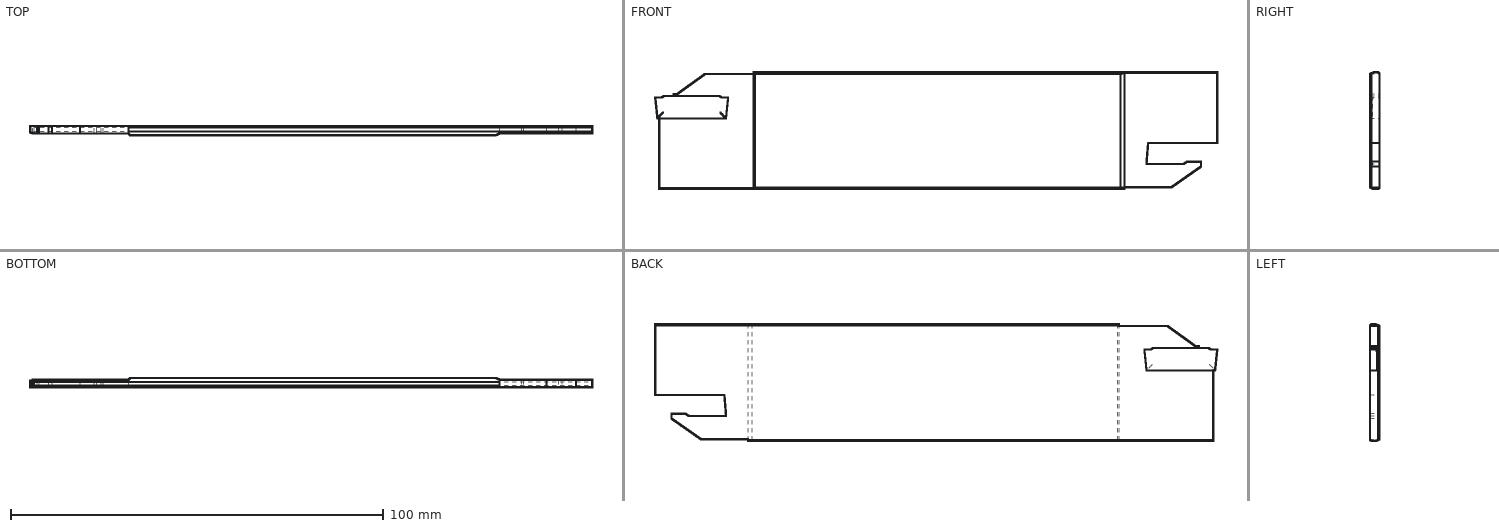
import cadquery as cq

BLADE_LEFT = 1.0
BLADE_RIGHT = 151.0
BLADE_HEIGHT = 31.4
BLADE_THICKNESS = 2.5
END_THICKNESS = 2.1

MIDDLE_LEFT = 26.5
MIDDLE_RIGHT = 125.0
LEFT_SHOULDER_RUN = 0.5
RIGHT_SHOULDER_RUN = 1.0

FRONT_BEVEL_HEIGHT = 0.5
FRONT_BEVEL_DEPTH = 1.0
BACK_BEVEL_HEIGHT = 0.3
BACK_BEVEL_DEPTH = 0.5
END_EDGE_DROP = 0.5

JAW_TIP_X = 5.9
JAW_TIP_Z = 25.5
JAW_SLOPE_END_X = 13.5

INSERT_LENGTH = 19.6
INSERT_BOTTOM = 19.0
INSERT_EDGE_Z = 24.6
INSERT_TOP = 25.0
INSERT_END_SLANT = 0.6
INSERT_TOP_INSET = 2.4
RAMP_LENGTH = 0.6
RELIEF_LENGTH = 2.1
RELIEF_DEPTH = 0.3
RELIEF_BOTTOM = 20.5

SEAT_TOP = BLADE_HEIGHT - INSERT_BOTTOM
SEAT_BOTTOM = 6.8
SEAT_WALL_TOP_X = 132.5
SEAT_WALL_BOTTOM_X = 132.0
SEAT_LIP_X = 142.0
SEAT_LIP_RUN = 0.9
SEAT_LIP_Z = 7.4
SEAT_JAW_TIP_X = 146.6
SEAT_JAW_TIP_Z = 6.0


def plate(points, thickness):
    """Extrude an XZ outline from the back face toward -Y."""
    return cq.Workplane("XZ").polyline(points).close().extrude(thickness)


def make_insert_envelope():
    """Full-thickness insert outline, symmetric about its middle."""
    top_left = INSERT_TOP_INSET
    top_right = INSERT_LENGTH - INSERT_TOP_INSET
    points = [
        (INSERT_END_SLANT, INSERT_BOTTOM),
        (0, INSERT_EDGE_Z),
        (top_left - RAMP_LENGTH, INSERT_EDGE_Z),
        (top_left, INSERT_TOP),
        (top_right, INSERT_TOP),
        (top_right + RAMP_LENGTH, INSERT_EDGE_Z),
        (INSERT_LENGTH, INSERT_EDGE_Z),
        (INSERT_LENGTH - INSERT_END_SLANT, INSERT_BOTTOM),
    ]
    return plate(points, END_THICKNESS)


def make_end_relief():
    """Front-face wedge deepening toward the left end of the insert."""
    wedge = (
        cq.Workplane("XY")
        .workplane(offset=INSERT_BOTTOM)
        .polyline([
            (0, -END_THICKNESS),
            (RELIEF_LENGTH, -END_THICKNESS),
            (0, RELIEF_DEPTH - END_THICKNESS),
        ])
        .close()
        .extrude(INSERT_TOP - INSERT_BOTTOM)
    )
    boundary = plate([
        (0, INSERT_BOTTOM),
        (INSERT_END_SLANT, INSERT_BOTTOM),
        (RELIEF_LENGTH, RELIEF_BOTTOM),
        (RELIEF_LENGTH, INSERT_TOP),
        (0, INSERT_TOP),
    ], END_THICKNESS)
    return wedge.intersect(boundary)


def make_insert():
    left_relief = make_end_relief()
    right_relief = left_relief.mirror("YZ").translate((INSERT_LENGTH, 0, 0))
    return make_insert_envelope().cut(left_relief).cut(right_relief)


def make_end_plate():
    """Thin plate spanning both ends, with one edge lowered at each end."""
    top = BLADE_HEIGHT
    return plate([
        (BLADE_LEFT, 0),
        (MIDDLE_RIGHT, 0),
        (MIDDLE_RIGHT, END_EDGE_DROP),
        (BLADE_LEFT + BLADE_RIGHT - JAW_SLOPE_END_X, END_EDGE_DROP),
        (SEAT_JAW_TIP_X, SEAT_JAW_TIP_Z),
        (SEAT_JAW_TIP_X, SEAT_LIP_Z),
        (SEAT_LIP_X + SEAT_LIP_RUN, SEAT_LIP_Z),
        (SEAT_LIP_X, SEAT_BOTTOM),
        (SEAT_WALL_BOTTOM_X, SEAT_BOTTOM),
        (SEAT_WALL_TOP_X, SEAT_TOP),
        (BLADE_RIGHT, SEAT_TOP),
        (BLADE_RIGHT, top),
        (MIDDLE_LEFT, top),
        (MIDDLE_LEFT, top - END_EDGE_DROP),
        (JAW_SLOPE_END_X, top - END_EDGE_DROP),
        (JAW_TIP_X, JAW_TIP_Z),
        (JAW_TIP_X - SEAT_LIP_RUN, JAW_TIP_Z),
        (JAW_TIP_X - SEAT_LIP_RUN, INSERT_TOP),
        (INSERT_TOP_INSET, INSERT_TOP),
        (INSERT_TOP_INSET, INSERT_BOTTOM),
        (BLADE_LEFT, INSERT_BOTTOM),
    ], END_THICKNESS)


def make_middle():
    """Raised section with sloped shoulders at both ends."""
    return (
        cq.Workplane("XY")
        .polyline([
            (MIDDLE_LEFT, 0),
            (MIDDLE_LEFT, -END_THICKNESS),
            (MIDDLE_LEFT + LEFT_SHOULDER_RUN, -BLADE_THICKNESS),
            (MIDDLE_RIGHT, -BLADE_THICKNESS),
            (MIDDLE_RIGHT + RIGHT_SHOULDER_RUN, -END_THICKNESS),
            (MIDDLE_RIGHT + RIGHT_SHOULDER_RUN, 0),
        ])
        .close()
        .extrude(BLADE_HEIGHT)
    )


def make_edge_envelope():
    """Blade cross-section whose long edges are bevelled front and back."""
    crest_front = FRONT_BEVEL_DEPTH - BLADE_THICKNESS
    return (
        cq.Workplane("YZ")
        .polyline([
            (0, BACK_BEVEL_HEIGHT),
            (-BACK_BEVEL_DEPTH, 0),
            (crest_front, 0),
            (-BLADE_THICKNESS, FRONT_BEVEL_HEIGHT),
            (-BLADE_THICKNESS, BLADE_HEIGHT - FRONT_BEVEL_HEIGHT),
            (crest_front, BLADE_HEIGHT),
            (-BACK_BEVEL_DEPTH, BLADE_HEIGHT),
            (0, BLADE_HEIGHT - BACK_BEVEL_HEIGHT),
        ])
        .close()
        .extrude(BLADE_RIGHT)
    )


def make_blade():
    """Complete blade with bevelled edges and the insert pocket cut through it."""
    body = make_end_plate().union(make_middle())
    return body.intersect(make_edge_envelope()).cut(make_insert_envelope())


blade = make_blade()
insert = make_insert()
result = cq.Compound.makeCompound([blade.val(), insert.val()])